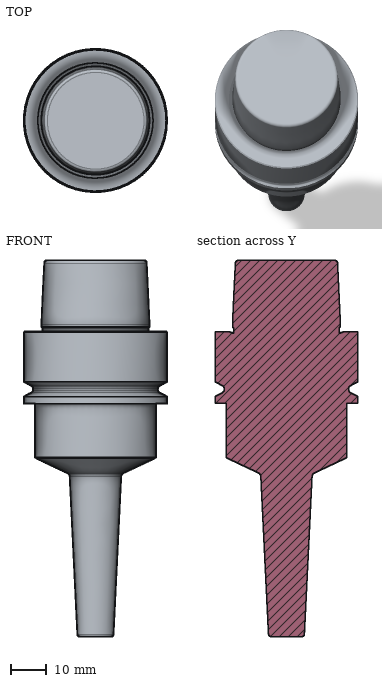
import cadquery as cq

total_height = 104.9
collar_top = 85.1
collar_bottom = 64.9
body_bottom = 50.0
neck_top = 45.3

taper_top_radius = 14.3
taper_base_radius = 15.1
taper_base_height = 87.1
taper_rim_fillet = 0.8
band_bottom = 86.0
undercut_radius = 14.8
relief_outer_radius = 16.0
relief_depth = 0.5

collar_diameter = 40.0
collar_radius = collar_diameter / 2
collar_chamfer = 0.3
groove_root_radius = 17.4
groove_top = 71.0
groove_bottom = 66.9
groove_flank_height = 1.4
groove_root_fillet = 0.7
groove_root_top = groove_top - groove_flank_height
groove_root_bottom = groove_bottom + groove_flank_height

body_radius = 16.9
body_chamfer = 0.3
neck_top_radius = 7.2
neck_tip_radius = 5.0
shoulder_fillet = 1.0
tip_fillet = 0.8


def circular_edge_at(height):
    """Select the edges centred within a narrow slice at the given height."""
    slice_half = 0.01
    reach = 2 * collar_radius
    return cq.selectors.BoxSelector(
        (-reach, -reach, height - slice_half),
        (reach, reach, height + slice_half),
        boundingbox=True,
    )


profile = [
    (0, 0),
    (neck_tip_radius, 0),
    (neck_top_radius, neck_top),
    (body_radius - body_chamfer, body_bottom - body_chamfer),
    (body_radius, body_bottom),
    (body_radius, collar_bottom),
    (collar_radius, collar_bottom),
    (collar_radius, groove_bottom),
    (groove_root_radius, groove_root_bottom),
    (groove_root_radius, groove_root_top),
    (collar_radius, groove_top),
    (collar_radius, collar_top - collar_chamfer),
    (collar_radius - collar_chamfer, collar_top),
    (relief_outer_radius, collar_top),
    (undercut_radius, collar_top - relief_depth),
    (undercut_radius, band_bottom),
    (taper_base_radius, band_bottom + taper_base_radius - undercut_radius),
    (taper_base_radius, taper_base_height),
    (taper_top_radius, total_height),
    (0, total_height),
]

holder = cq.Workplane("XZ").polyline(profile).close().revolve(360, (0, 0), (0, 1))
holder = holder.edges(circular_edge_at(total_height)).fillet(taper_rim_fillet)
for root_height in (groove_root_bottom, groove_root_top):
    holder = holder.edges(circular_edge_at(root_height)).fillet(groove_root_fillet)
holder = holder.edges(circular_edge_at(neck_top)).fillet(shoulder_fillet)
holder = holder.edges(circular_edge_at(0)).fillet(tip_fillet)

result = holder